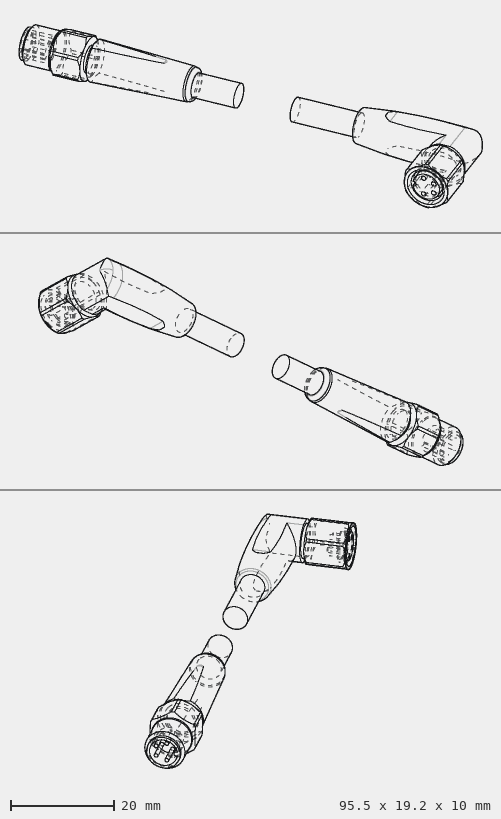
import cadquery as cq
import math


CABLE_RADIUS = 2.5
NUT_FLATS = 9.0
NUT_RADIUS = 10.0 / 2
NUT_END_RADIUS = 4.5
NUT_CHAMFER = 0.5
GRIP_END_RADIUS = 7.2 / 2
CONTACT_CIRCLE = 1.9
CONTACT_ANGLES = (34, 107, -107, -34)
CUT_SIZE = 28.65

NOSE_STEP = 0.7
THREAD_START = 1.1
THREAD_END = 6.5
PLUG_NUT_START = 6.8
PLUG_NUT_END = 13.4
GRIP_START = 14.1
GRIP_FULL = 14.7
GRIP_RING_START = 34.8
GRIP_RING_END = 35.1
GRIP_END = 36.0
PLUG_CABLE_END = 45.0

NOSE_RADIUS = 3.3
PLUG_NECK_RADIUS = 2.8
THREAD_RADIUS = 4.0
PLUG_NUT_FRONT_RADIUS = 4.1
GRIP_FRONT_RADIUS = 3.4
GRIP_RADIUS = 4.3
GRIP_TIP_RADIUS = 3.4
GRIP_TIP_ROUND = 0.8

RECESS_RADIUS = 2.8
RECESS_DEPTH = 5.3
PIN_RADIUS = 0.4
PIN_SETBACK = 0.5
KEY_RADIUS = 0.5
KEY_OFFSET = 2.6

GRIP_FLAT_START_HEIGHT = 7.9 / 2
GRIP_FLAT_END_HEIGHT = 3.7
GRIP_FLAT_END = 29.4
GRIP_FLAT_RUNOUT = 0.7
GRIP_FLAT_RUNOUT_RISE = 0.07

SOCKET_CABLE_START = 56.9
ELBOW_START = 70.5
SOCKET_X = 90.9
ELBOW_SHOULDER = 76.9
ELBOW_SHOULDER_RADIUS = 4.3
ELBOW_PEAK = 84.5
ELBOW_PEAK_RADIUS = 9.3 / 2
ELBOW_FAR_RADIUS = 4.4
ELBOW_EDGE = 0.4
ARM_RADIUS = 4.3
ARM_END = -5.35
ELBOW_CORNER = 1.9
ELBOW_FLAT_HEIGHT = 8.4 / 2
ELBOW_FLAT_LOW_HEIGHT = 7.9 / 2
ELBOW_FLAT_RAMP_HEIGHT = 4.2
ELBOW_FLAT_RAMP_START = 76.3
ELBOW_FLAT_START = 77.7
SOCKET_COLLAR_RADIUS = 3.4
SOCKET_NECK_RADIUS = 3.0
SOCKET_NUT_START = -6.2
SOCKET_NUT_END = -14.5

RIM_RADIUS = 4.6
RIM_LENGTH = 0.3
MOUTH_RADIUS = 3.9
MOUTH_BORE_RADIUS = 3.3
MOUTH_CONE = 0.6
MOUTH_DEPTH = 1.9
INSERT_RADIUS = 5.6 / 2
INSERT_SETBACK = 0.2
CONTACT_HOLE_RADIUS = 0.5
CONTACT_HOLE_DEPTH = 3.8


def turned(points):
    """Solid of revolution about X from (x, radius) points."""
    start, end = points[0][0], points[-1][0]
    outline = [(start, 0)] + points + [(end, 0)]
    return cq.Workplane("XY").polyline(outline).close().revolve(360, (0, 0, 0), (1, 0, 0))


def rod(start, end, radius, y=0.0, z=0.0):
    """Cylinder along X."""
    return cq.Workplane("YZ", origin=(start, y, z)).circle(radius).extrude(end - start)


def hex_nut(start, end, front_radius):
    """Hexagonal nut along X with two corners on the Z axis and chamfered ends."""
    front_chamfer = NUT_CHAMFER * (NUT_RADIUS - front_radius) / (NUT_RADIUS - NUT_END_RADIUS)
    corner_diameter = NUT_FLATS / math.cos(math.pi / 6)
    prism = (
        cq.Workplane("YZ", origin=(start, 0, 0))
        .transformed(rotate=(0, 0, 90))
        .polygon(6, corner_diameter)
        .extrude(end - start)
    )
    envelope = turned([
        (start, front_radius),
        (start + front_chamfer, NUT_RADIUS),
        (end - NUT_CHAMFER, NUT_RADIUS),
        (end, NUT_END_RADIUS),
    ])
    return prism.intersect(envelope)


def contact_places():
    """(y, z) of the four contacts around the connector axis; the key is on the -y side."""
    places = []
    for angle in CONTACT_ANGLES:
        turn = math.radians(angle)
        places.append((CONTACT_CIRCLE * math.cos(turn), CONTACT_CIRCLE * math.sin(turn)))
    return places


def flat_cutters(profile):
    """Upper and lower cutters, outside the (x, z) profile and its mirror image."""
    start, end = profile[0][0], profile[-1][0]
    outline = profile + [(end, CUT_SIZE), (start, CUT_SIZE)]
    upper = cq.Workplane("XZ").polyline(outline).close().extrude(CUT_SIZE / 2, both=True)
    return upper.union(upper.mirror("XY"))


def plug_grip():
    grip = turned([
        (GRIP_START, GRIP_FRONT_RADIUS),
        (GRIP_FULL, GRIP_RADIUS),
        (GRIP_RING_START, GRIP_END_RADIUS),
        (GRIP_RING_END, GRIP_TIP_RADIUS),
        (GRIP_END, GRIP_TIP_RADIUS),
    ])
    grip = grip.faces(">X").edges().fillet(GRIP_TIP_ROUND)
    flats = flat_cutters([
        (GRIP_START, GRIP_FLAT_START_HEIGHT),
        (GRIP_FLAT_END, GRIP_FLAT_END_HEIGHT),
        (GRIP_FLAT_END + GRIP_FLAT_RUNOUT, GRIP_FLAT_END_HEIGHT + GRIP_FLAT_RUNOUT_RISE),
    ])
    return grip.cut(flats)


def plug_nose():
    nose = turned([
        (0, NOSE_RADIUS),
        (NOSE_STEP, NOSE_RADIUS),
        (THREAD_START, THREAD_RADIUS),
        (THREAD_END, THREAD_RADIUS),
        (PLUG_NUT_START, PLUG_NUT_FRONT_RADIUS),
    ])
    nose = nose.cut(rod(0, RECESS_DEPTH, RECESS_RADIUS))
    nose = nose.union(rod(0, RECESS_DEPTH, KEY_RADIUS, y=-KEY_OFFSET))
    for y, z in contact_places():
        nose = nose.union(rod(PIN_SETBACK, RECESS_DEPTH, PIN_RADIUS, y, z))
    return nose


def straight_plug():
    return (
        plug_nose()
        .union(hex_nut(PLUG_NUT_START, PLUG_NUT_END, PLUG_NUT_FRONT_RADIUS))
        .union(rod(PLUG_NUT_END, GRIP_START, PLUG_NECK_RADIUS))
        .union(plug_grip())
        .union(rod(GRIP_END, PLUG_CABLE_END, CABLE_RADIUS))
    )


def elbow_barrel():
    """Body along X, swelling from the cable end to its thickest point, with a rounded far corner."""
    far_end = SOCKET_X + ARM_RADIUS
    return (
        cq.Workplane("XY")
        .moveTo(ELBOW_START, 0)
        .lineTo(ELBOW_START, GRIP_END_RADIUS)
        .spline(
            [
                (ELBOW_SHOULDER, ELBOW_SHOULDER_RADIUS),
                (ELBOW_PEAK, ELBOW_PEAK_RADIUS),
                (far_end, ELBOW_FAR_RADIUS),
            ],
            includeCurrent=True,
        )
        .lineTo(far_end, 0)
        .close()
        .revolve(360, (0, 0, 0), (1, 0, 0))
        .faces("<X").edges().fillet(ELBOW_EDGE)
        .faces(">X").edges().fillet(ELBOW_CORNER)
    )


def along_arm(shape):
    """Turn a shape built along +X so that it runs along -Y at the socket's axis."""
    return shape.rotate((0, 0, 0), (0, 0, 1), -90).translate((SOCKET_X, 0, 0))


def elbow():
    barrel = elbow_barrel()
    before_arm = cq.Workplane("XY").box(SOCKET_X, CUT_SIZE, CUT_SIZE, centered=(False, True, True))
    arm_side = cq.Workplane("XY").box(CUT_SIZE, CUT_SIZE, CUT_SIZE).translate((SOCKET_X, -CUT_SIZE / 2, 0))
    arm = along_arm(rod(-CUT_SIZE / 2, -ARM_END, ARM_RADIUS)).intersect(barrel.union(arm_side))
    flats = flat_cutters([
        (ELBOW_FLAT_RAMP_START, ELBOW_PEAK_RADIUS),
        (ELBOW_FLAT_RAMP_START, ELBOW_FLAT_RAMP_HEIGHT),
        (ELBOW_FLAT_START, ELBOW_FLAT_LOW_HEIGHT),
        (SOCKET_X + ARM_RADIUS, ELBOW_FLAT_HEIGHT),
    ])
    return barrel.intersect(before_arm).union(arm).cut(flats)


def socket_nut():
    """Nut along +X, with its mouth, insert and contact holes at the far end."""
    end = -SOCKET_NUT_END
    floor = end - MOUTH_DEPTH
    face = end - INSERT_SETBACK
    nut = hex_nut(-SOCKET_NUT_START, end, NUT_END_RADIUS)
    mouth = turned([
        (floor, MOUTH_BORE_RADIUS),
        (end - MOUTH_CONE, MOUTH_BORE_RADIUS),
        (end, MOUTH_RADIUS),
    ])
    nut = nut.union(rod(end - RIM_LENGTH, end, RIM_RADIUS))
    nut = nut.cut(mouth).union(rod(floor, face, INSERT_RADIUS))
    nut = nut.cut(rod(face - CONTACT_HOLE_DEPTH, face, KEY_RADIUS, y=-KEY_OFFSET))
    for y, z in contact_places():
        nut = nut.cut(rod(face - CONTACT_HOLE_DEPTH, face, CONTACT_HOLE_RADIUS, y, z))
    return nut


def angled_socket():
    neck = turned([(-ARM_END, SOCKET_COLLAR_RADIUS), (-SOCKET_NUT_START, SOCKET_NECK_RADIUS)])
    return (
        elbow()
        .union(along_arm(neck))
        .union(along_arm(socket_nut()))
        .union(rod(SOCKET_CABLE_START, ELBOW_START, CABLE_RADIUS))
    )


plug = straight_plug()
socket = angled_socket()
result = cq.Compound.makeCompound([plug.val(), socket.val()])